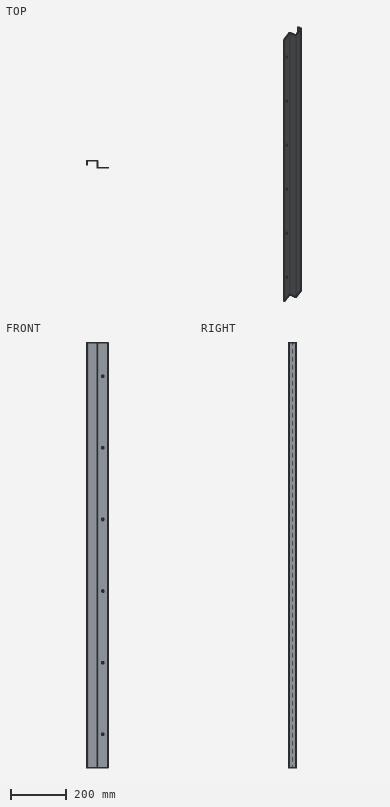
import cadquery as cq

length = 1524.0
width = 76.2
thickness = 1.22
step = 25.4
depth = step + thickness
lip_depth = 14.5
inner_radius = thickness
outer_radius = inner_radius + thickness
corner_radius = 5.08

web_right = width / 2
web_left = web_right - thickness

hole_diameter = 6.35
hole_count = 6
hole_pitch = 256.54
hole_x = 57.15


def make_section():
    """Extrude the lipped Z section, with rounded bends, along Z."""
    outline = [
        (0, depth),
        (web_right, depth),
        (web_right, thickness),
        (width, thickness),
        (width, 0),
        (web_left, 0),
        (web_left, depth - thickness),
        (thickness, depth - thickness),
        (thickness, depth - lip_depth),
        (0, depth - lip_depth),
    ]
    section = cq.Workplane("XY").polyline(outline).close().extrude(length)
    outer_corners = [(0, depth), (web_right, depth), (web_left, 0)]
    inner_corners = [
        (thickness, depth - thickness),
        (web_left, depth - thickness),
        (web_right, thickness),
    ]
    section = round_corners(section, outer_corners, outer_radius)
    return round_corners(section, inner_corners, inner_radius)


def round_corners(body, corners, radius):
    """Fillet the lengthwise edges that stand on the given XY corners."""
    for x, y in corners:
        edge = cq.selectors.NearestToPointSelector((x, y, length / 2))
        body = body.edges(edge).fillet(radius)
    return body


def round_sheet_corners(body):
    """Round the four free corners of the sheet, on the lip and front flange ends."""
    middle = thickness / 2
    for z in (0, length):
        flange_corner = cq.selectors.NearestToPointSelector((width, middle, z))
        body = body.edges(flange_corner).fillet(corner_radius)
        lip_corner = cq.selectors.NearestToPointSelector((middle, depth - lip_depth, z))
        body = body.edges(lip_corner).fillet(corner_radius)
    return body


def make_hole_cutters():
    """Cylinders along Y that pass through the front flange only."""
    middle = (hole_count - 1) / 2
    places = [(hole_x, length / 2 + (i - middle) * hole_pitch) for i in range(hole_count)]
    return (
        cq.Workplane("XZ")
        .pushPoints(places)
        .circle(hole_diameter / 2)
        .extrude(-thickness)
    )


result = round_sheet_corners(make_section()).cut(make_hole_cutters())